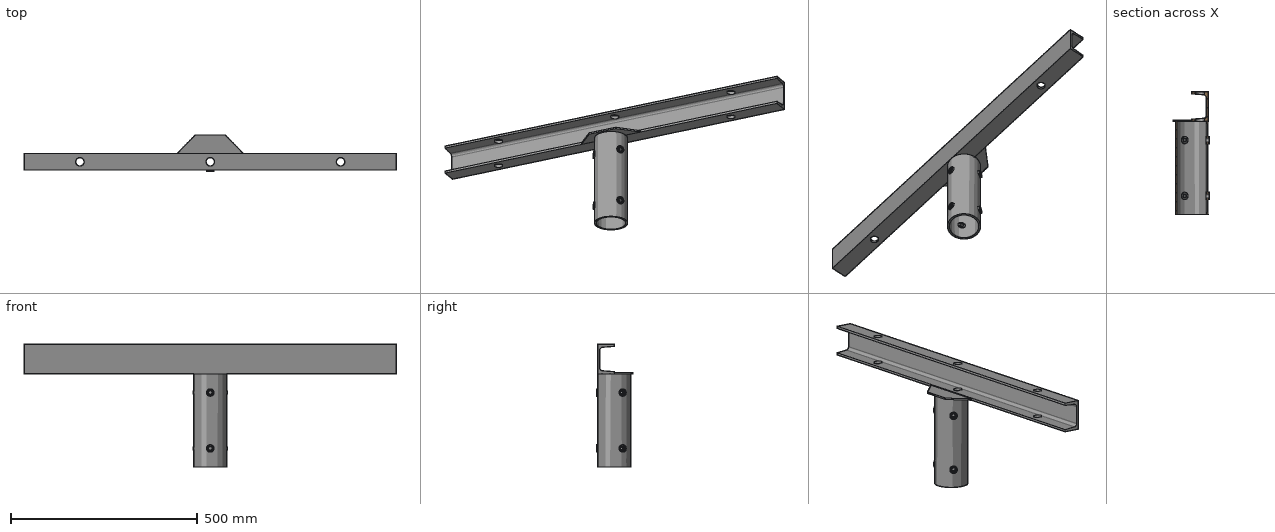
import cadquery as cq
import math

beam_length = 1000.0
beam_height = 80.0
flange_width = 45.0
web_thickness = 6.0
flange_thickness = 8.0
flange_slope = 0.08
root_radius = 8.0

beam_hole_diameter = 22.0
beam_hole_spacing = 350.0
beam_hole_y = flange_width / 2

plate_thickness = 4.0
plate_depth = 50.0
plate_front_width = 178.0
plate_back_width = 80.0

tube_diameter = 89.0
tube_wall = 5.0
tube_length = 250.0
tube_radius = tube_diameter / 2
tube_center_y = tube_radius

bushing_diameter = 20.0
bushing_length = 10.0
bushing_protrusion = 3.0
bushing_bore = 10.0
bore_chamfer = 2.0
bushing_end_distance = 50.0
bushing_angles = [-90.0, 30.0, 150.0]
bushing_levels = [-bushing_end_distance, bushing_end_distance - tube_length]


def make_beam():
    """Channel with tapered flanges, lying along X with its bottom at z = 0."""
    half_taper = flange_slope * flange_width / 2
    toe_thickness = flange_thickness - half_taper
    root_thickness = flange_thickness + half_taper - flange_slope * web_thickness
    beam = (
        cq.Workplane("YZ")
        .moveTo(0, 0)
        .lineTo(flange_width, 0)
        .lineTo(flange_width, toe_thickness)
        .lineTo(web_thickness, root_thickness)
        .lineTo(web_thickness, beam_height - root_thickness)
        .lineTo(flange_width, beam_height - toe_thickness)
        .lineTo(flange_width, beam_height)
        .lineTo(0, beam_height)
        .close()
        .extrude(beam_length / 2, both=True)
    )
    corner_margin = web_thickness / 2
    root_edges = cq.selectors.BoxSelector(
        (-beam_length, web_thickness - corner_margin, root_thickness - corner_margin),
        (beam_length, web_thickness + corner_margin, beam_height - root_thickness + corner_margin),
    )
    beam = beam.edges("|X").edges(root_edges).fillet(root_radius)
    holes = (
        cq.Workplane("XY")
        .pushPoints([(i * beam_hole_spacing, beam_hole_y) for i in (-1, 0, 1)])
        .circle(beam_hole_diameter / 2)
        .extrude(beam_height)
    )
    return beam.cut(holes)


def make_plate():
    """Trapezoid plate butted against the toe of the lower flange."""
    plate_back_y = flange_width + plate_depth
    return (
        cq.Workplane("XY")
        .polyline([
            (-plate_front_width / 2, flange_width),
            (plate_front_width / 2, flange_width),
            (plate_back_width / 2, plate_back_y),
            (-plate_back_width / 2, plate_back_y),
        ])
        .close()
        .extrude(plate_thickness)
    )


def bushing_blank(angle, level):
    """Solid radial cylinder, with its workplane on the outer end facing away from the tube axis."""
    outward = cq.Vector(math.cos(math.radians(angle)), math.sin(math.radians(angle)), 0)
    outer_end = cq.Vector(0, tube_center_y, level) + outward * (tube_radius + bushing_protrusion)
    plane = cq.Plane(origin=outer_end, xDir=cq.Vector(0, 0, 1), normal=outward)
    return cq.Workplane(plane).circle(bushing_diameter / 2).extrude(-bushing_length)


def make_bushing(angle, level):
    """Bushing with a through bore, chamfered at its outer end."""
    blank = bushing_blank(angle, level)
    outer_end = cq.Workplane(blank.plane)
    bore = outer_end.circle(bushing_bore / 2).extrude(-bushing_length)
    countersink = (
        outer_end.circle(bushing_bore / 2 + bore_chamfer)
        .workplane(offset=-bore_chamfer)
        .circle(bushing_bore / 2)
        .loft()
    )
    return blank.cut(bore).cut(countersink)


def make_tube():
    """Open tube hanging from the beam, with a hole for each bushing."""
    tube = (
        cq.Workplane("XY")
        .center(0, tube_center_y)
        .circle(tube_radius)
        .circle(tube_radius - tube_wall)
        .extrude(-tube_length)
    )
    for level in bushing_levels:
        for angle in bushing_angles:
            tube = tube.cut(bushing_blank(angle, level))
    return tube


beam = make_beam()
plate = make_plate()
tube = make_tube()
bushings = [make_bushing(angle, level) for level in bushing_levels for angle in bushing_angles]

result = cq.Compound.makeCompound([
    beam.val(),
    plate.val(),
    tube.val(),
    *[bushing.val() for bushing in bushings],
])